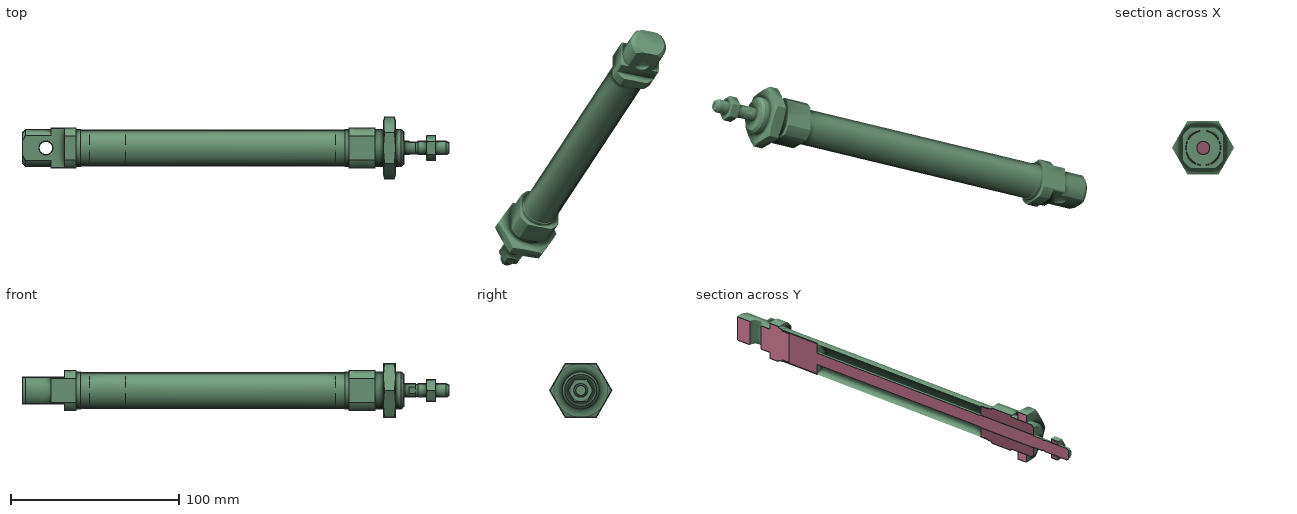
import cadquery as cq
import math


CAP_SQUARE = 24.0
CAP_ROUND_D = 28.0
COLLAR_D = 22.0
COLLAR_LENGTH = 2.5

TONGUE_D = 22.0
TONGUE_THICKNESS = 16.0
TONGUE_CHAMFER = 2.0
REAR_BLOCK_START = 17.0
TONGUE_END = 25.0
REAR_BLOCK_END = 32.0
EYE_X = 14.0
EYE_D = 8.0

BARREL_D = 21.3
BORE_D = 20.0
BARREL_START = REAR_BLOCK_END + COLLAR_LENGTH
BARREL_END = 192.0
PLUG_LENGTH = 5.5

FRONT_BLOCK_START = BARREL_END + COLLAR_LENGTH
FRONT_BLOCK_END = 210.0
NOSE_D = 22.0
NOSE_END = 227.0
NOSE_CHAMFER = 1.5

MOUNT_NUT_START = 215.0
MOUNT_NUT_THICKNESS = 7.0
MOUNT_NUT_FLATS = 32.0

STROKE = 125.0
PISTON_START = BARREL_START + PLUG_LENGTH
PISTON_END = BARREL_END - PLUG_LENGTH - STROKE
ROD_D = 8.0
ROD_FLAT_START = 230.0
ROD_FLATS = 7.0
UNDERCUT_D = 7.2
UNDERCUT_START = 234.0
UNDERCUT_END = 235.5
ROD_END = 254.0
ROD_TIP_D = 6.0
ROD_TIP_LENGTH = 1.75

ROD_NUT_START = 240.5
ROD_NUT_THICKNESS = 5.5
ROD_NUT_FLATS = 13.0

NUT_CHAMFER_ANGLE = 15.0


def turned(outline):
    """Solid of revolution about X from (x, radius) points that start and end on the axis."""
    return cq.Workplane("XZ").polyline(outline).close().revolve(360, (0, 0, 0), (1, 0, 0))


def cylinder(start, end, diameter):
    """Round bar along X."""
    radius = diameter / 2
    return turned([(start, 0), (start, radius), (end, radius), (end, 0)])


def block(start, end, width, height):
    """Rectangular bar along X, centred on the axis."""
    return cq.Workplane("YZ", origin=(start, 0, 0)).rect(width, height).extrude(end - start)


def cap_block(start, end):
    """Square cap block with its long corners rounded by the bar it is cut from."""
    return block(start, end, CAP_SQUARE, CAP_SQUARE).intersect(cylinder(start, end, CAP_ROUND_D))


def hex_nut(start, thickness, flats, bore):
    """Hexagon nut with two flats facing +Z and -Z and its corners chamfered on both faces."""
    corner_radius = flats / math.sqrt(3)
    face_radius = flats / 2
    end = start + thickness
    drop = (corner_radius - face_radius) * math.tan(math.radians(NUT_CHAMFER_ANGLE))
    hexagon = cq.Workplane("YZ", origin=(start, 0, 0)).polygon(6, 2 * corner_radius).extrude(thickness)
    envelope = turned([
        (start, 0),
        (start, face_radius),
        (start + drop, corner_radius),
        (end - drop, corner_radius),
        (end, face_radius),
        (end, 0),
    ])
    return hexagon.intersect(envelope).cut(cylinder(start, end, bore))


def make_rear_cap():
    tongue_radius = TONGUE_D / 2
    tongue = turned([
        (0, 0),
        (0, tongue_radius - TONGUE_CHAMFER),
        (TONGUE_CHAMFER, tongue_radius),
        (REAR_BLOCK_START, tongue_radius),
        (REAR_BLOCK_START, 0),
    ])
    slab = block(0, TONGUE_END, CAP_ROUND_D, TONGUE_THICKNESS)
    thinned = tongue.union(cap_block(REAR_BLOCK_START, TONGUE_END)).intersect(slab)
    eye = cq.Workplane("XY").center(EYE_X, 0).circle(EYE_D / 2).extrude(TONGUE_THICKNESS, both=True)
    body = thinned.union(cap_block(TONGUE_END, REAR_BLOCK_END))
    body = body.union(cylinder(REAR_BLOCK_END, BARREL_START, COLLAR_D))
    return body.union(cylinder(BARREL_START, BARREL_START + PLUG_LENGTH, BORE_D)).cut(eye)


def make_barrel():
    bore = cylinder(BARREL_START, BARREL_END, BORE_D)
    return cylinder(BARREL_START, BARREL_END, BARREL_D).cut(bore)


def make_front_cap():
    nose_radius = NOSE_D / 2
    nose = turned([
        (FRONT_BLOCK_END, 0),
        (FRONT_BLOCK_END, nose_radius),
        (NOSE_END - NOSE_CHAMFER, nose_radius),
        (NOSE_END, nose_radius - NOSE_CHAMFER),
        (NOSE_END, 0),
    ])
    body = cylinder(BARREL_END, FRONT_BLOCK_START, COLLAR_D)
    body = body.union(cap_block(FRONT_BLOCK_START, FRONT_BLOCK_END)).union(nose)
    body = body.union(cylinder(BARREL_END - PLUG_LENGTH, BARREL_END, BORE_D))
    return body.cut(cylinder(BARREL_END - PLUG_LENGTH, NOSE_END, ROD_D))


def make_rod():
    piston_radius = BORE_D / 2
    rod_radius = ROD_D / 2
    undercut_radius = UNDERCUT_D / 2
    rod = turned([
        (PISTON_START, 0),
        (PISTON_START, piston_radius),
        (PISTON_END, piston_radius),
        (PISTON_END, rod_radius),
        (UNDERCUT_START, rod_radius),
        (UNDERCUT_START, undercut_radius),
        (UNDERCUT_END, undercut_radius),
        (UNDERCUT_END, rod_radius),
        (ROD_END - ROD_TIP_LENGTH, rod_radius),
        (ROD_END, ROD_TIP_D / 2),
        (ROD_END, 0),
    ])
    flat_zone = block(ROD_FLAT_START, UNDERCUT_END, 2 * ROD_D, 2 * ROD_D)
    between_flats = block(ROD_FLAT_START, UNDERCUT_END, ROD_FLATS, 2 * ROD_D)
    return rod.cut(flat_zone.cut(between_flats))


rear_cap = make_rear_cap()
barrel = make_barrel()
front_cap = make_front_cap()
mount_nut = hex_nut(MOUNT_NUT_START, MOUNT_NUT_THICKNESS, MOUNT_NUT_FLATS, NOSE_D)
rod = make_rod()
rod_nut = hex_nut(ROD_NUT_START, ROD_NUT_THICKNESS, ROD_NUT_FLATS, ROD_D)

result = cq.Compound.makeCompound([
    rear_cap.val(),
    barrel.val(),
    front_cap.val(),
    mount_nut.val(),
    rod.val(),
    rod_nut.val(),
])